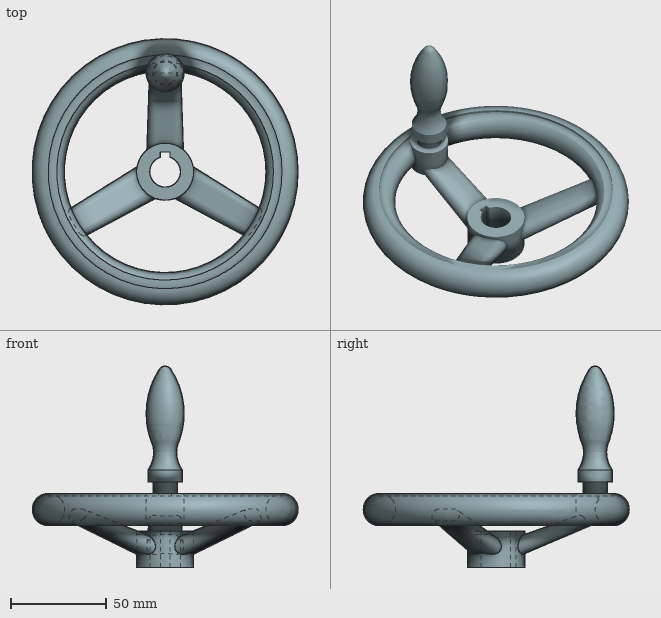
import cadquery as cq
import math

hub_diameter = 30.0
hub_height = 19.2
bore_diameter = 16.0
keyway_width = 5.0
keyway_reach = 10.3

wheel_diameter = 140.0
rim_thickness = 17.0
rim_section_radius = rim_thickness / 2
rim_radius = wheel_diameter / 2 - rim_section_radius
rim_height = 30.5
rim_top = rim_height + rim_section_radius
rim_step_depth = 1.3

spoke_count = 3
first_spoke_angle = 90.0
spoke_flat_width = 9.7
spoke_start_radius = 10.0
spoke_start_height = 10.5
spoke_start_thickness = 9.8
spoke_end_thickness = 6.3

handle_radius = 52.0
seat_diameter = 20.0
seat_bottom = 23.0
seat_top = rim_top

total_height = 106.0
stem_diameter = 13.0
collar_bottom = 45.1
collar_top = 51.2
collar_diameter = 18.2
waist_height = 60.7
waist_diameter = 12.2
neck_height = 66.6
neck_diameter = 15.0
grip_height = 83.0
grip_diameter = 20.0
tip_height = 104.3
tip_diameter = 6.0


def make_hub():
    return cq.Workplane("XY").circle(hub_diameter / 2).extrude(hub_height)


def make_rim():
    ring = (
        cq.Workplane("XZ")
        .center(rim_radius, rim_height)
        .circle(rim_section_radius)
        .revolve(360, (-rim_radius, 0, 0), (-rim_radius, 1, 0))
    )
    step = (
        cq.Workplane("XY")
        .workplane(offset=rim_top - rim_step_depth)
        .circle(rim_radius)
        .extrude(rim_step_depth)
    )
    return ring.cut(step)


def make_spoke(angle):
    """Tapered spoke rising from inside the hub to the centre of the rim section."""
    run = rim_radius - spoke_start_radius
    rise = rim_height - spoke_start_height
    section = cq.Plane(
        origin=(spoke_start_radius, 0, spoke_start_height),
        xDir=(0, 1, 0),
        normal=(run, 0, rise),
    )
    spoke = (
        cq.Workplane(section)
        .slot2D(spoke_flat_width + spoke_start_thickness, spoke_start_thickness)
        .workplane(offset=math.hypot(run, rise))
        .slot2D(spoke_flat_width + spoke_end_thickness, spoke_end_thickness)
        .loft(ruled=True)
    )
    return spoke.rotate((0, 0, 0), (0, 0, 1), angle)


def make_handle_seat():
    return (
        cq.Workplane("XY")
        .workplane(offset=seat_bottom)
        .center(0, handle_radius)
        .circle(seat_diameter / 2)
        .extrude(seat_top - seat_bottom)
    )


def radius_from_sagitta(sagitta, half_chord):
    """Radius of the arc that falls by sagitta over half_chord from its crest."""
    return (sagitta**2 + half_chord**2) / (2 * sagitta)


def make_handle():
    """Turned handle: stem, collar, concave neck and barrel grip with a domed tip."""
    flare_depth = (collar_diameter - waist_diameter) / 2
    flare_radius = radius_from_sagitta(flare_depth, waist_height - collar_top)
    tip_radius = radius_from_sagitta(total_height - tip_height, tip_diameter / 2)
    profile = (
        cq.Workplane("XZ")
        .moveTo(0, seat_bottom)
        .lineTo(stem_diameter / 2, seat_bottom)
        .lineTo(stem_diameter / 2, collar_bottom)
        .lineTo(collar_diameter / 2, collar_bottom)
        .lineTo(collar_diameter / 2, collar_top)
        .radiusArc((waist_diameter / 2, waist_height), flare_radius)
        .tangentArcPoint((neck_diameter / 2, neck_height), relative=False)
        .threePointArc((grip_diameter / 2, grip_height), (tip_diameter / 2, tip_height))
        .radiusArc((0, total_height), -tip_radius)
        .close()
    )
    return profile.revolve(360, (0, 0, 0), (0, 1, 0)).translate((0, handle_radius, 0))


def make_keyed_bore():
    bore = cq.Workplane("XY").circle(bore_diameter / 2).extrude(hub_height)
    keyway = (
        cq.Workplane("XY")
        .center(0, keyway_reach / 2)
        .rect(keyway_width, keyway_reach)
        .extrude(hub_height)
    )
    return bore.union(keyway)


wheel = make_hub().union(make_rim())
for index in range(spoke_count):
    wheel = wheel.union(make_spoke(first_spoke_angle + index * 360 / spoke_count))
wheel = wheel.union(make_handle_seat()).union(make_handle())
result = wheel.cut(make_keyed_bore())